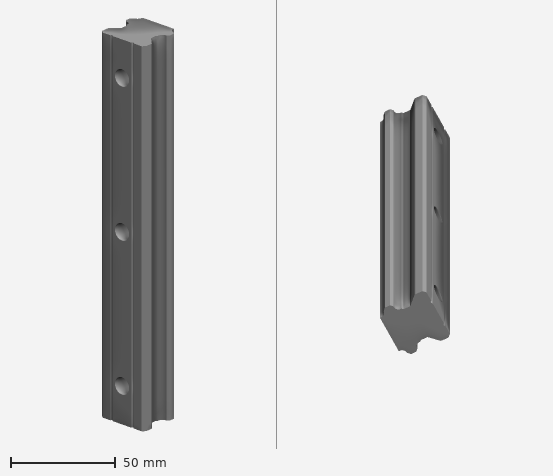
import cadquery as cq
import math

rail_width = 28.0
rail_height = 26.0
rail_length = 200.0

hole_diameter = 9.0
hole_pitch = 80.0
hole_count = 3

race_radius = 2.5
race_start_half_width = 10.0
upper_race_start_depth = 0.6
lower_race_end_depth = 11.0

upper_shoulder_chamfer = 1.5
lower_shoulder_chamfer = 1.2

waist_half_width = 9.3
waist_top_depth = 12.1
waist_bottom_height = 10.3
flank_angle = 45.0
base_edge_radius = 1.5
base_chamfer = 1.5

groove_outer_wall = 7.4
groove_inner_rim = 5.9
groove_slope_run = 0.45
groove_depth = 0.6

half_width = rail_width / 2
base_y = -rail_height / 2
head_y = rail_height / 2


def half_profile():
    """Cross section on the +X side of the centre plane, from the base face up to the head face."""
    race_centre_x = race_start_half_width + race_radius
    diagonal = race_radius * math.sqrt(0.5)
    upper_race_y = head_y - upper_race_start_depth
    lower_race_y = head_y - lower_race_end_depth
    waist_top_y = head_y - waist_top_depth
    shoulder_top_y = upper_race_y - race_radius
    shoulder_bottom_y = lower_race_y + race_radius

    flank_rise = (half_width - waist_half_width) * math.tan(math.radians(flank_angle))
    flank_corner_y = base_y + waist_bottom_height - flank_rise
    tangent_length = base_edge_radius * math.tan(math.radians(flank_angle / 2))
    flank_step_x = tangent_length * math.sin(math.radians(flank_angle))
    flank_step_y = tangent_length * math.cos(math.radians(flank_angle))

    return (
        cq.Workplane("XY")
        .moveTo(0, base_y)
        .lineTo(half_width - base_chamfer, base_y)
        .lineTo(half_width, base_y + base_chamfer)
        .lineTo(half_width, flank_corner_y - tangent_length)
        .tangentArcPoint((half_width - flank_step_x, flank_corner_y + flank_step_y), relative=False)
        .lineTo(waist_half_width, base_y + waist_bottom_height)
        .lineTo(waist_half_width, waist_top_y)
        .lineTo(race_start_half_width, waist_top_y + race_start_half_width - waist_half_width)
        .lineTo(race_start_half_width, lower_race_y)
        .threePointArc(
            (race_centre_x - diagonal, lower_race_y + diagonal),
            (race_centre_x, shoulder_bottom_y),
        )
        .lineTo(half_width - lower_shoulder_chamfer, shoulder_bottom_y)
        .lineTo(half_width, shoulder_bottom_y + lower_shoulder_chamfer)
        .lineTo(half_width, shoulder_top_y - upper_shoulder_chamfer)
        .lineTo(half_width - upper_shoulder_chamfer, shoulder_top_y)
        .threePointArc(
            (race_centre_x - diagonal, upper_race_y - diagonal),
            (race_start_half_width, upper_race_y),
        )
        .lineTo(race_start_half_width, head_y)
        .lineTo(0, head_y)
        .close()
    )


def base_groove():
    """Shallow groove along the base with a square outer wall and a sloped inner wall, on the +X side."""
    floor_y = base_y + groove_depth
    return (
        cq.Workplane("XY")
        .moveTo(groove_inner_rim, base_y)
        .lineTo(groove_outer_wall, base_y)
        .lineTo(groove_outer_wall, floor_y)
        .lineTo(groove_inner_rim + groove_slope_run, floor_y)
        .close()
        .extrude(rail_length)
    )


def rail_body():
    half = half_profile().extrude(rail_length).cut(base_groove())
    return half.union(half.mirror("YZ"))


def mounting_holes():
    """Plain holes along Y through the full rail height."""
    return (
        cq.Workplane("XZ", origin=(0, head_y, rail_length / 2))
        .rarray(1, hole_pitch, 1, hole_count)
        .circle(hole_diameter / 2)
        .extrude(rail_height)
    )


result = rail_body().cut(mounting_holes()).translate((0, 0, -rail_length / 2))